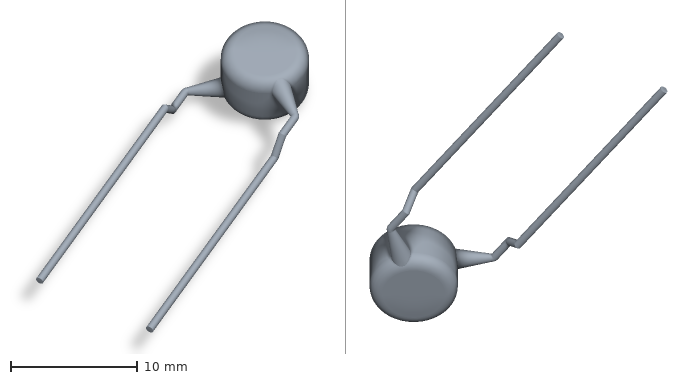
import cadquery as cq
import math

overall_length = 30.8

disc_diameter = 7.0
disc_height = 5.0
rim_radius = 1.0

wire_diameter = 0.65
lead_spacing = 10.0
straight_length = 20.05
kink_length = 1.23
knee_y = 4.07
knee_radius = 0.35

collar_half_angle = 10.0
collar_root = 2.83

wire_radius = wire_diameter / 2
lead_x = lead_spacing / 2
lead_z = disc_height / 2 - rim_radius
lead_end_y = overall_length - disc_diameter / 2
kink_end_y = lead_end_y - straight_length
kink_start_y = kink_end_y - kink_length

knee_pivot_x = lead_x - knee_radius
pivot_distance = math.hypot(knee_pivot_x, knee_y)
pivot_angle = math.degrees(math.atan2(knee_y, knee_pivot_x))
collar_angle = pivot_angle - math.degrees(math.asin(knee_radius / pivot_distance))
knee_turn = 90 - collar_angle
collar_tip = math.sqrt(pivot_distance**2 - knee_radius**2)


def make_disc():
    puck = cq.Workplane("XY").cylinder(disc_height, disc_diameter / 2)
    return puck.edges().fillet(rim_radius)


def make_collar(disc):
    """Upper right collar: a cone along X, swung toward the knee and trimmed to the disc."""
    root_radius = wire_radius + (collar_tip - collar_root) * math.tan(math.radians(collar_half_angle))
    profile = [
        (collar_root, 0),
        (collar_root, root_radius),
        (collar_tip, wire_radius),
        (collar_tip, 0),
    ]
    cone = cq.Workplane("XY").polyline(profile).close().revolve(360, (0, 0, 0), (1, 0, 0))
    cone = cone.rotate((0, 0, 0), (0, 0, 1), -collar_angle).translate((0, 0, lead_z))
    return cone.cut(disc)


def make_lead():
    """Upper right lead: a knee, a short run, a kink to mid height and a long straight."""
    knee_plane = cq.Plane(origin=(lead_x, -knee_y, lead_z), xDir=(1, 0, 0), normal=(0, -1, 0))
    path = cq.Workplane("YZ", origin=(lead_x, 0, 0)).polyline([
        (-knee_y, lead_z),
        (-kink_start_y, lead_z),
        (-kink_end_y, 0),
        (-lead_end_y, 0),
    ])
    wire = cq.Workplane(knee_plane).circle(wire_radius).sweep(path, transition="right")
    knee = (
        cq.Workplane(knee_plane)
        .circle(wire_radius)
        .revolve(knee_turn, (-knee_radius, 0, 0), (-knee_radius, 1, 0))
    )
    return wire.union(knee)


disc = make_disc()
bodies = [disc.val()]

for side_angle in (0, 180):
    for side_part in (make_collar(disc), make_lead()):
        bodies.append(side_part.rotate((0, 0, 0), (0, 1, 0), side_angle).solids().val())

result = cq.Compound.makeCompound(bodies)